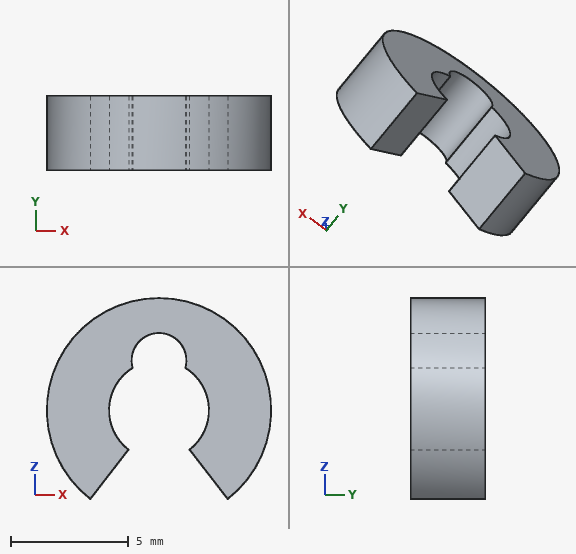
import cadquery as cq
import math

outer_radius = 4.755
bore_radius = 2.11
thickness = 3.17
relief_radius = 1.155
opening_half_angle = 37.7


def cylinder(radius, center_z=0.0):
    """Solid cylinder along Y, as thick as the ring, centred on Y = 0."""
    return (
        cq.Workplane("XZ")
        .center(0, center_z)
        .circle(radius)
        .extrude(thickness / 2, both=True)
    )


def opening_wedge():
    """Wedge from the ring axis downward whose sides follow radial lines."""
    wedge_depth = 2 * outer_radius
    wedge_half_width = wedge_depth * math.tan(math.radians(opening_half_angle))
    return (
        cq.Workplane("XZ")
        .moveTo(0, 0)
        .lineTo(wedge_half_width, -wedge_depth)
        .lineTo(-wedge_half_width, -wedge_depth)
        .close()
        .extrude(thickness / 2, both=True)
    )


ring = cylinder(outer_radius).cut(cylinder(bore_radius))
relieved_ring = ring.cut(cylinder(relief_radius, center_z=bore_radius))
result = relieved_ring.cut(opening_wedge())